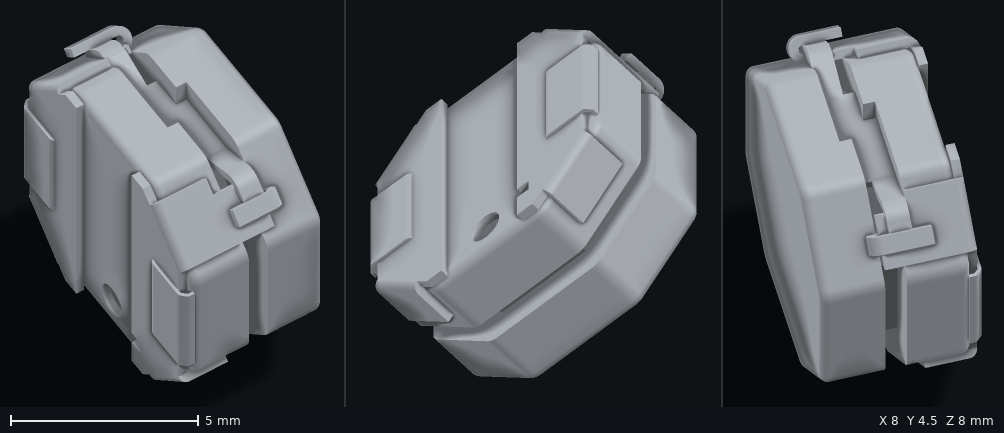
import cadquery as cq
import math


core_width = 8.0
core_depth = 4.15
gap = 0.6
post_inset = 1.0
flat_width = 3.8
slope_angle = 45
flange_corner_radius = 0.5
flange_edge_radius = 0.25
hole_radius = 0.5
hole_depth = 0.25
hole_drop = 3.0

half_width = core_width / 2
corner_x = flat_width / 2
front_y = -core_depth / 2
slope_distance = (half_width + corner_x) / math.sqrt(2)
post_half = half_width - post_inset
post_corner = corner_x - post_inset * (math.sqrt(2) - 1)

strip = 0.25
lead_width = 0.63
lead_rise = 21.5
lead_root_x = 1.44
root_bend = 0.25
hump_bend = 0.28
crest_x = 2.53
notch_start = 0.51

plate_inner_x = 1.36
tab_half_width = 1.0
tab_step_y = -lead_width
tab_neck = 0.5
lower_tab_y = -0.86
hook_width = 0.5
right_hook_root_y = lead_width
right_hook_length = 1.11
left_hook_root_y = 0.25
left_hook_length = 1.38
key_slot_depth = 0.42
key_slot_height = 0.38
key_slot_drop = hole_drop

plate_front_y = front_y - strip
plate_corner_x = (slope_distance + tab_half_width) / math.sqrt(2)
plate_corner_z = (slope_distance - tab_half_width) / math.sqrt(2)

pad_thickness = 0.1
pad_height = 3.01
pad_inner_x = 2.4
pad_lip_y = -2.02
pad_corner = 0.19
pad_bend = 0.06
pad_end_radius = 0.2


def octagon(half, corner, y_start, y_end):
    """Eight-sided prism along Y, from y_start to y_end."""
    quarter = [(corner, half), (half, corner)]
    right_side = quarter + [(x, -z) for x, z in reversed(quarter)]
    points = right_side + [(-x, -z) for x, z in right_side]
    return cq.Workplane("XZ", origin=(0, y_start, 0)).polyline(points).close().extrude(y_start - y_end)


def block(x, y, z):
    """Box given by its (low, high) range along each axis."""
    size = [high - low for low, high in (x, y, z)]
    return cq.Workplane("XY").box(*size, centered=False).translate((x[0], y[0], z[0]))


def bent_strip(path, bends, thickness, width):
    """Sheet bent along a path in the local XY plane, extruded by width along local Z.

    The path is the outer face and the sheet lies on its right-hand side. Each entry of bends
    is (corner number, inner radius, True where the path turns right).
    """
    normals = []
    for (x1, y1), (x2, y2) in zip(path, path[1:]):
        length = math.hypot(x2 - x1, y2 - y1)
        normals.append(((y2 - y1) / length, (x1 - x2) / length))
    before = [normals[0]] + normals
    after = normals + [normals[-1]]
    back = []
    for (x, y), (ax, ay), (bx, by) in zip(path, before, after):
        reach = thickness / (1 + ax * bx + ay * by)
        back.append((x + reach * (ax + bx), y + reach * (ay + by)))
    sheet = cq.Workplane("XY").polyline(path + back[::-1]).close().extrude(width)
    for corner, inner_radius, turns_right in bends:
        outer_radius = inner_radius + thickness
        path_radius = outer_radius if turns_right else inner_radius
        back_radius = inner_radius if turns_right else outer_radius
        for (x, y), radius in ((path[corner], path_radius), (back[corner], back_radius)):
            edge = cq.selectors.NearestToPointSelector((x, y, width / 2))
            sheet = sheet.edges(edge).fillet(radius)
    return sheet


def make_flange():
    """Rear flange, with rounded corners and a rounded rear rim."""
    flange = octagon(half_width, corner_x, gap / 2, core_depth / 2)
    flange = flange.edges("|Y").fillet(flange_corner_radius)
    return flange.faces(">Y").edges().fillet(flange_edge_radius)


def make_lead_channel():
    """Room for the rear lead: a notch open at the top, and a seat on the post."""
    notch = block((-notch_start, half_width), (0, lead_width), (post_half, half_width))
    seat = block((-post_corner, 0), (0, lead_width), (post_half, post_half + strip))
    return notch.union(seat)


def make_core():
    rear_flange = make_flange().cut(make_lead_channel())
    front_flange = rear_flange.rotate((0, 0, 0), (0, 0, 1), 180)
    post = octagon(post_half, post_corner, -gap / 2, gap / 2)
    hole = (
        cq.Workplane("XZ", origin=(0, front_y, -hole_drop))
        .circle(hole_radius)
        .extrude(-hole_depth)
    )
    return rear_flange.union(post).union(front_flange).cut(hole)


def make_lead(flat_crest):
    """Lead leaving to the right: along the post, up a rise, then down over the sloping tab."""
    top_z = post_half + strip
    rise = math.tan(math.radians(lead_rise))
    slope_sum = (slope_distance + 2 * strip) * math.sqrt(2)
    path = [(-post_corner, top_z), (lead_root_x, top_z)]
    if flat_crest:
        crest_z = top_z + (crest_x - lead_root_x) * rise
        path.append((crest_x, crest_z))
        path.append((slope_sum - crest_z, crest_z))
    else:
        hump_x = (slope_sum - top_z + lead_root_x * rise) / (1 + rise)
        path.append((hump_x, slope_sum - hump_x))
    bends = [(1, root_bend, False), (len(path) - 1, hump_bend, True)]
    end_x = slope_sum / 2 + hook_width / math.sqrt(2)
    path.append((end_x, slope_sum - end_x))
    lead = bent_strip(path, bends, strip, lead_width)
    return lead.rotate((0, 0, 0), (1, 0, 0), 90).translate((0, lead_width, 0))


def make_tab(outline):
    """Flat tab lying at the height of a sloping side, with a rounded fold down to the plate."""
    tab = cq.Workplane("XY", origin=(0, 0, slope_distance)).polyline(outline).close().extrude(strip)
    fold = (
        cq.Workplane("YZ", origin=(-tab_half_width, front_y, slope_distance))
        .lineTo(-strip, 0)
        .radiusArc((0, strip), strip)
        .close()
        .extrude(2 * tab_half_width)
    )
    return tab.union(fold)


def make_upper_tab(hook_root_y, hook_length):
    """Tab with a narrow neck whose end is bent back over the lead as a hook."""
    tab = make_tab([
        (-tab_half_width, front_y),
        (tab_half_width, front_y),
        (tab_half_width, hook_root_y),
        (-tab_neck, hook_root_y),
        (-tab_neck, tab_step_y),
        (-tab_half_width, tab_step_y),
    ])
    inner_radius = strip / 2
    outer_radius = inner_radius + strip
    bend_z = slope_distance + strip + inner_radius
    ring = (
        cq.Workplane("YZ", origin=(0, hook_root_y, bend_z))
        .circle(outer_radius)
        .circle(inner_radius)
        .extrude(hook_width)
    )
    rear_side = block((0, hook_width), (hook_root_y, half_width), (0, core_width))
    finger = block(
        (0, hook_width),
        (hook_root_y - hook_length, hook_root_y),
        (bend_z + inner_radius, bend_z + outer_radius),
    )
    return tab.union(ring.intersect(rear_side)).union(finger)


def make_lower_tab():
    return make_tab([
        (-tab_half_width, front_y),
        (tab_half_width, front_y),
        (tab_half_width, lower_tab_y),
        (-tab_half_width, lower_tab_y),
    ])


def make_terminal(hook_root_y, hook_length):
    """Right-hand terminal: a plate on the core with a folded tab on each sloping side."""
    outline = [
        (plate_inner_x, half_width),
        (corner_x, half_width),
        (plate_corner_x, plate_corner_z),
        (plate_corner_x, -plate_corner_z),
        (corner_x, -half_width),
        (plate_inner_x, -half_width),
    ]
    plate = cq.Workplane("XZ", origin=(0, front_y, 0)).polyline(outline).close().extrude(strip)
    upper_tab = make_upper_tab(hook_root_y, hook_length).rotate((0, 0, 0), (0, 1, 0), slope_angle)
    lower_tab = make_lower_tab().rotate((0, 0, 0), (0, 1, 0), slope_angle).mirror("XY")
    return plate.union(upper_tab).union(lower_tab)


def make_key_slot():
    """Square notch in the inner edge of the right-hand plate."""
    return block(
        (plate_inner_x, plate_inner_x + key_slot_depth),
        (plate_front_y, front_y),
        (-key_slot_drop - key_slot_height / 2, -key_slot_drop + key_slot_height / 2),
    )


def make_pad():
    """Right-hand solder pad: thin sheet over the plate, bent round the side of the part."""
    face_y = plate_front_y - pad_thickness
    path = [
        (pad_inner_x, face_y),
        (half_width - pad_corner, face_y),
        (half_width, face_y + pad_corner),
        (half_width, pad_lip_y),
    ]
    bends = [(1, pad_bend, True), (2, pad_bend, True)]
    pad = bent_strip(path[::-1], bends, pad_thickness, pad_height)
    centre_y = face_y + pad_end_radius
    run = math.sqrt(pad_end_radius ** 2 - (pad_end_radius - pad_thickness) ** 2)
    centre_x = pad_inner_x + run
    half_turn = math.asin(run / pad_end_radius) / 2
    middle = (
        centre_x - pad_end_radius * math.sin(half_turn),
        centre_y - pad_end_radius * math.cos(half_turn),
    )
    trim = (
        cq.Workplane("XY")
        .moveTo(centre_x, face_y)
        .threePointArc(middle, (pad_inner_x, plate_front_y))
        .lineTo(pad_inner_x, face_y)
        .close()
        .extrude(pad_height)
    )
    return pad.cut(trim).translate((0, 0, -pad_height / 2))


core = make_core()

right_lead = make_lead(flat_crest=False)
left_lead = make_lead(flat_crest=True).mirror("YZ").translate((0, -lead_width, 0))

right_terminal = make_terminal(right_hook_root_y, right_hook_length)
right_terminal = right_terminal.cut(make_key_slot()).cut(right_lead)
left_terminal = make_terminal(left_hook_root_y, left_hook_length)
left_terminal = left_terminal.mirror("YZ").cut(left_lead)

right_pad = make_pad()
left_pad = right_pad.mirror("YZ")

bodies = [core, right_lead, left_lead, right_terminal, left_terminal, right_pad, left_pad]
result = cq.Compound.makeCompound([body.solids().val() for body in bodies])